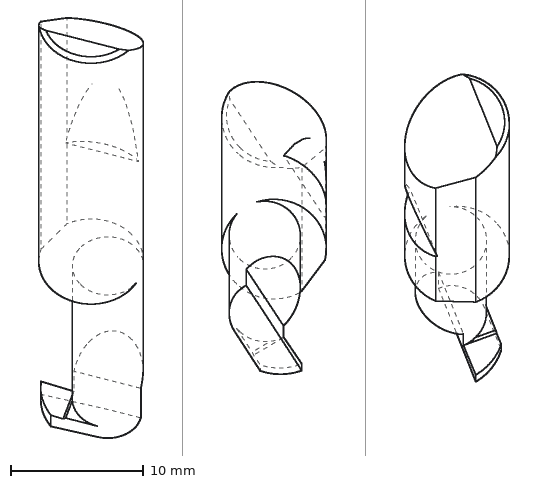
import cadquery as cq

length = 50.8
shank_radius = 3.95
shank_bottom = 19.0
top_chamfer = 0.35

flat_angle = 157.5
flat_distance = 3.65

slope_start_y = -2.15

notch_floor_y = 2.7
notch_bottom_z = 28.95
notch_floor_z = 29.65
notch_top_z = 37.6

neck_radius = 2.7
neck_x = 1.3
neck_bottom = 0.25
relief_top_z = 6.8

foot_right_x = neck_x
foot_corner_x = -2.35
foot_flank_bulge = 0.2
foot_height = 1.7
foot_groove_height = 1.45
foot_groove_width = 0.2
foot_bottom_rise = 0.25

MARGIN = 2.55
cut_width = 2 * (shank_radius + MARGIN)


def prism_along_x(points):
    """Extrude a Y-Z outline right across the part."""
    return cq.Workplane("YZ").polyline(points).close().extrude(cut_width / 2, both=True)


def shank():
    body = (
        cq.Workplane("XY")
        .workplane(offset=shank_bottom)
        .circle(shank_radius)
        .extrude(length - shank_bottom)
        .faces(">Z")
        .chamfer(top_chamfer)
    )
    flat = (
        cq.Workplane("XY")
        .box(MARGIN, cut_width, length, centered=(False, True, False))
        .translate((flat_distance, 0, 0))
        .rotate((0, 0, 0), (0, 0, 1), flat_angle)
    )
    outer_y = shank_radius + MARGIN
    slope = prism_along_x([
        (slope_start_y, length),
        (outer_y, length - (outer_y - slope_start_y)),
        (outer_y, length),
    ])
    notch = prism_along_x([
        (shank_radius, notch_bottom_z),
        (notch_floor_y, notch_floor_z),
        (shank_radius, notch_top_z),
    ])
    return body.cut(flat).cut(slope).cut(notch)


def neck():
    body = (
        cq.Workplane("XY")
        .workplane(offset=neck_bottom)
        .center(neck_x, 0)
        .circle(neck_radius)
        .extrude(shank_bottom - neck_bottom)
    )
    envelope = cq.Workplane("XY").circle(shank_radius).extrude(length)
    relief = prism_along_x([
        (0, 0),
        (0, relief_top_z - neck_radius),
        (neck_radius, relief_top_z),
        (neck_radius, 0),
    ])
    return body.intersect(envelope).cut(relief)


def foot():
    flank_mid = (
        (foot_corner_x - shank_radius) / 2 - foot_flank_bulge,
        -neck_radius / 2 - foot_flank_bulge,
    )
    plan = (
        cq.Workplane("XY")
        .moveTo(-shank_radius, 0)
        .threePointArc(flank_mid, (foot_corner_x, -neck_radius))
        .lineTo(foot_right_x, -neck_radius)
        .lineTo(foot_right_x, 0)
        .close()
        .extrude(foot_height)
    )
    groove_x = neck_x - neck_radius
    side = (
        cq.Workplane("XZ")
        .polyline([
            (-shank_radius, 0),
            (foot_right_x, foot_bottom_rise),
            (foot_right_x, foot_height),
            (groove_x + foot_groove_width, foot_height),
            (groove_x, foot_groove_height),
            (-shank_radius, foot_height),
        ])
        .close()
        .extrude(neck_radius)
    )
    return plan.intersect(side)


result = shank().union(neck()).union(foot())